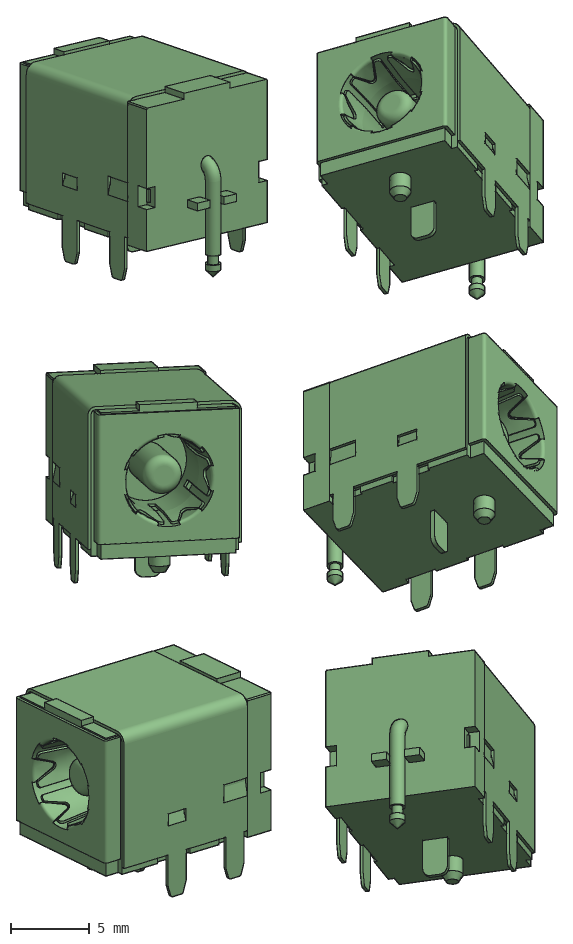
import cadquery as cq

body_half = 4.8
body_top = 9.5
wall = 0.2
shell_half = body_half + wall
shell_top = body_top + wall
shell_front = 1.2
shell_rear = 11.19
housing_rear = 13.1
corner_radius_left = 0.51
corner_radius_right = 0.72

panel_half = 4.62
panel_top = 9.4
panel_bottom = 1.0
panel_round = 0.21
nose_half = panel_half - panel_round

tab_half = 1.89
tab_top = 9.9

shell_bottom = 0.47
relief_depth = 0.2
relief_spans = [(4.09, 6.72), (9.05, shell_rear)]

notch_front = 12.27
notch_bottom = 2.78
notch_top = 4.17
notch_depth = 0.71
stub_end = 12.64
stub_bottom = 3.02
stub_top = 3.88
stub_height = 0.14
stub_chamfer = 0.13

rear_edge_drop = 0.1
rear_edge_width = 0.05

arm_inner = 0.6
arm_width = 1.02
arm_end = 14.09
arm_thickness = 0.51

peg_x = 2.74
peg_radius = 0.68
peg_tip_radius = 0.4
peg_cone_top = -1.04
peg_bottom = -1.5

leg_width = 1.49
leg_starts = [4.75, 9.45]
leg_bottom = -2.5
leg_taper_top = -1.62
leg_tip_inset = 0.27
leg_tip_round = 0.2
catches = [
    (4.8, 6.2, 2.47, 3.3, 3.14),
    (9.3, shell_rear, 2.88, 4.12, 3.82),
]

axis_z = 4.95
mouth_radius = 3.0
lip_radius = 0.21
pad_radius = mouth_radius - lip_radius
pad_half_width = 0.82
pad_length = 1.99
pad_tip_round = 0.2
notch_gap = 0.09

sheet = 0.15
sleeve_inner = 2.55
sleeve_outer = sleeve_inner + sheet
finger_inner = 2.77
finger_outer = finger_inner + sheet
finger_front = 0.28
finger_root = 2.54
finger_count = 6
finger_pitch = 360 / finger_count
slot_width = 0.47
slot_end = 4.97
finger_round = 0.21

tail_rear = 6.2
tail_thickness = 0.3
tail_half = 0.82
tail_round = 0.51
tail_bottom = leg_bottom
sleeve_rear = tail_rear

head_radius = 1.25
head_round = 0.6
head_front = 1.42
wire_radius = 0.5
overall_length = 14.2
wire_x = overall_length - wire_radius
bend_radius = 1.04
neck_radius = 0.35
neck_top = -0.98
neck_bottom = -1.59
point_top = -2.0
pin_bottom = leg_bottom


def block(x0, x1, y0, y1, z0, z1):
    """Box between two corners."""
    return cq.Workplane("XY").box(x1 - x0, y1 - y0, z1 - z0, centered=False).translate((x0, y0, z0))


def centred_block(x0, x1, half, z0, z1):
    """Box with its width centred on Y = 0."""
    return block(x0, x1, -half, half, z0, z1)


def both_sides(solid):
    """The solid together with its mirror image on the other side of Y = 0."""
    return solid.union(solid.mirror("XZ"))


def arch(half, top, bottom, inset):
    """Shell-shaped block with its two top edges rounded; inset reduces the bend radii."""
    bar = centred_block(shell_front, shell_rear, half, bottom, top)
    bar = bar.edges("|X and >Z and >Y").fillet(corner_radius_left - inset)
    return bar.edges("|X and >Z and <Y").fillet(corner_radius_right - inset)


def revolve_on_axis(profile):
    """Turn an (x, radius) profile about the bore axis."""
    return profile.revolve(360, (0, 0, 0), (1, 0, 0)).translate((0, 0, axis_z))


def bore(x0, x1, radius):
    """Cylinder on the bore axis between two X positions."""
    return cq.Workplane("YZ").circle(radius).extrude(x1 - x0).translate((x0, 0, axis_z))


def around_axis(outline, start_angle):
    """Radial copies, one per finger, of an (x, tangential) outline extruded through the sleeve wall."""
    prism = outline.extrude(2 * mouth_radius)
    copies = cq.Workplane("XY")
    for i in range(finger_count):
        turned = prism.rotate((0, 0, 0), (1, 0, 0), start_angle + i * finger_pitch)
        copies = copies.add(turned.translate((0, 0, axis_z)))
    return copies.combine()


def pad_prisms(gap):
    """Tapered tongues with rounded tips, one in the middle of each finger, enlarged by the gap."""
    half = pad_half_width + gap
    length = pad_length * half / pad_half_width
    outline = (
        cq.Sketch()
        .polygon([(0, -half), (length, 0), (0, half), (0, -half)])
        .vertices(">X")
        .fillet(pad_tip_round + gap)
    )
    return around_axis(cq.Workplane("XY").placeSketch(outline), finger_pitch / 2)


def lead_in_pads():
    """Housing pads with a rounded lip that fill the notches of the fingers with a little clearance."""
    ring = revolve_on_axis(
        cq.Workplane("XY")
        .moveTo(0, mouth_radius)
        .radiusArc((lip_radius, pad_radius), -lip_radius)
        .lineTo(pad_length, pad_radius)
        .lineTo(pad_length, mouth_radius + wall)
        .lineTo(0, mouth_radius + wall)
        .close()
    )
    return ring.intersect(pad_prisms(0))


def make_sleeve():
    """Sprung sleeve: a tube whose front is slit into notched, outward-leaning fingers."""
    sleeve = revolve_on_axis(
        cq.Workplane("XY").polyline([
            (finger_front, finger_inner),
            (finger_root, sleeve_inner),
            (sleeve_rear, sleeve_inner),
            (sleeve_rear, sleeve_outer),
            (finger_root, sleeve_outer),
            (finger_front, finger_outer),
        ]).close()
    )
    half = slot_width / 2
    wide = half + finger_round
    slot = (
        cq.Workplane("XY")
        .moveTo(finger_front, wide)
        .radiusArc((finger_front + finger_round, half), -finger_round)
        .lineTo(slot_end, half)
        .lineTo(slot_end, -half)
        .lineTo(finger_front + finger_round, -half)
        .radiusArc((finger_front, -wide), -finger_round)
        .close()
    )
    return sleeve.cut(around_axis(slot, 0)).cut(pad_prisms(notch_gap))


def make_tail():
    """Flat solder tail that stands below the rear end of the sleeve."""
    tail = centred_block(tail_rear - tail_thickness, tail_rear, tail_half, tail_bottom, axis_z)
    tail = tail.edges("|X and <Z").fillet(tail_round)
    return tail.cut(bore(0, housing_rear, sleeve_outer))


def make_pin():
    """Centre pin: thick rounded head, thin wire bent down behind the housing, grooved point."""
    head = bore(head_front, sleeve_rear, head_radius).faces("<X").edges().fillet(head_round)
    bend_x = wire_x - bend_radius
    path = (
        cq.Workplane("XZ")
        .moveTo(sleeve_rear, axis_z)
        .lineTo(bend_x, axis_z)
        .radiusArc((wire_x, axis_z - bend_radius), bend_radius)
        .lineTo(wire_x, neck_top)
    )
    wire = cq.Workplane("YZ", origin=(sleeve_rear, 0, axis_z)).circle(wire_radius).sweep(path)
    end = (
        cq.Workplane("XZ")
        .polyline([
            (0, neck_top),
            (neck_radius, neck_top),
            (neck_radius, neck_bottom),
            (wire_radius, neck_bottom),
            (wire_radius, point_top),
            (0, pin_bottom),
        ])
        .close()
        .revolve(360, (0, 0, 0), (0, 1, 0))
        .translate((wire_x, 0, 0))
    )
    return head.union(wire).union(end)


def catch_ramp(front, rear, bottom, ramp_top):
    """Wedge on the -Y side, flush with the shell at its bottom and with the housing at its top."""
    return (
        cq.Workplane("YZ")
        .polyline([(-body_half, bottom), (-shell_half, bottom), (-body_half, ramp_top)])
        .close()
        .extrude(rear - front)
        .translate((front, 0, 0))
    )


def make_shell():
    """Sheet-metal cover with four solder legs and windows for the housing catches."""
    shell = arch(shell_half, shell_top, shell_bottom, 0)
    shell = shell.cut(arch(body_half, body_top, shell_bottom, wall))
    for start in leg_starts:
        end = start + leg_width
        leg = (
            cq.Workplane("XZ")
            .polyline([
                (start, shell_bottom),
                (start, leg_taper_top),
                (start + leg_tip_inset, leg_bottom),
                (end - leg_tip_inset, leg_bottom),
                (end, leg_taper_top),
                (end, shell_bottom),
            ])
            .close()
            .extrude(wall)
            .edges("|Y and <Z")
            .fillet(leg_tip_round)
            .translate((0, -body_half, 0))
        )
        shell = shell.union(both_sides(leg))
    for front, rear, bottom, top, _ in catches:
        shell = shell.cut(both_sides(block(front, rear, -shell_half, -body_half, bottom, top)))
    return shell


def make_front():
    """Nose of the housing with its rounded raised panel."""
    panel = centred_block(0, shell_front, panel_half, panel_bottom, panel_top)
    panel = panel.edges("|Z and <X").fillet(panel_round)
    nose = centred_block(panel_round, shell_front, nose_half, 0, body_top)
    return nose.union(panel)


def make_middle():
    """Part of the housing inside the shell, with side recesses and catches."""
    middle = arch(body_half, body_top, 0, wall)
    for front, rear in relief_spans:
        relief = block(front, rear, -body_half, relief_depth - body_half, 0, shell_bottom)
        middle = middle.cut(both_sides(relief))
    for front, rear, bottom, _, ramp_top in catches:
        middle = middle.union(both_sides(catch_ramp(front, rear, bottom, ramp_top)))
    return middle


def make_rear():
    """Rear block with side notches, their floor stubs and the guide arms."""
    bevel_start = body_top - rear_edge_drop
    flat_half = shell_half - rear_edge_width
    rear = (
        cq.Workplane("YZ")
        .polyline([
            (-shell_half, 0),
            (shell_half, 0),
            (shell_half, bevel_start),
            (flat_half, body_top),
            (-flat_half, body_top),
            (-shell_half, bevel_start),
        ])
        .close()
        .extrude(housing_rear - shell_rear)
        .translate((shell_rear, 0, 0))
    )
    floor_y = notch_depth - shell_half
    notch = block(notch_front, housing_rear, -shell_half, floor_y, notch_bottom, notch_top)
    stub = block(notch_front, stub_end, floor_y - stub_height, floor_y, stub_bottom, stub_top)
    stub = stub.edges("|Z and <X and <Y").chamfer(stub_chamfer)
    arm = block(
        shell_rear, arm_end, -arm_inner - arm_width, -arm_inner, notch_bottom - arm_thickness, notch_bottom
    )
    return rear.cut(both_sides(notch)).union(both_sides(stub)).union(both_sides(arm))


def make_peg():
    """Locating peg with a conical tip under the front of the housing."""
    return (
        cq.Workplane("XZ")
        .polyline([
            (0, 0),
            (peg_radius, 0),
            (peg_radius, peg_cone_top),
            (peg_tip_radius, peg_bottom),
            (0, peg_bottom),
        ])
        .close()
        .revolve(360, (0, 0, 0), (0, 1, 0))
        .translate((peg_x, 0, 0))
    )


def make_housing(tail, pin):
    """Plastic housing, hollowed for the sleeve, the tail and the pin."""
    housing = make_front().union(make_middle()).union(make_rear()).union(make_peg())
    for x0, x1 in [(panel_round, shell_front), (shell_rear, housing_rear)]:
        housing = housing.union(centred_block(x0, x1, tab_half, body_top, tab_top))
    housing = housing.cut(bore(0, slot_end, mouth_radius)).cut(bore(slot_end, sleeve_rear, sleeve_outer))
    return housing.union(lead_in_pads()).cut(tail).cut(pin)


shell = make_shell()
sleeve = make_sleeve()
tail = make_tail()
pin = make_pin()
housing = make_housing(tail, pin)

bodies = [housing, shell, sleeve, tail, pin]
result = cq.Compound.makeCompound([body.solids().val() for body in bodies])